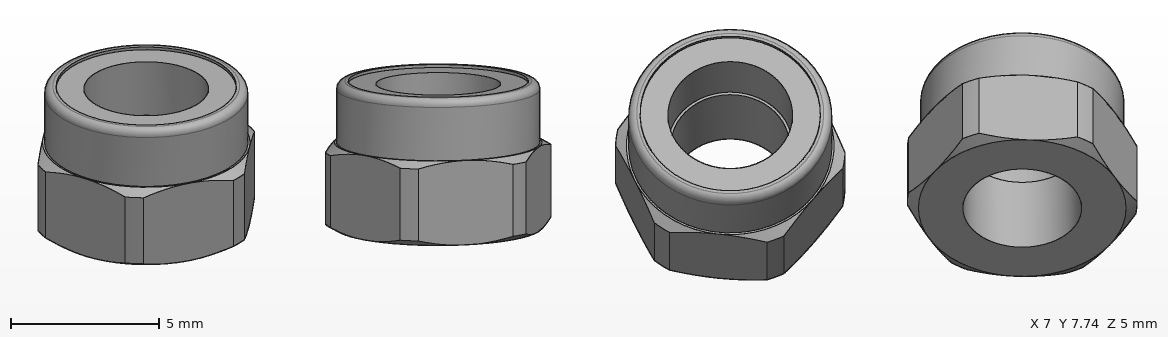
import cadquery as cq
import math

across_flats = 7.0
corner_diameter = 7.74
hex_height = 2.895
chamfer_angle = 30.0

total_height = 5.0
collar_diameter = 6.86
collar_rounding = 0.28

recess_diameter = 6.075
recess_depth = 0.1
insert_bore_diameter = 4.2
insert_thickness = 2.0
thread_bore_diameter = 4.0


def cylinder(diameter, bottom, top):
    """Vertical cylinder on the part axis between two heights."""
    return cq.Workplane("XY").workplane(offset=bottom).circle(diameter / 2).extrude(top - bottom)


def hex_base():
    """Hexagon with flats facing X, its corners turned round and chamfered at both ends."""
    flat_radius = across_flats / 2
    corner_radius = corner_diameter / 2
    chamfer_height = (corner_radius - flat_radius) * math.tan(math.radians(chamfer_angle))
    corner_to_corner = across_flats / math.cos(math.radians(30))
    hexagon = (
        cq.Workplane("XY")
        .polygon(6, corner_to_corner)
        .extrude(hex_height)
        .rotate((0, 0, 0), (0, 0, 1), 30)
    )
    turned_envelope = (
        cq.Workplane("XZ")
        .moveTo(0, 0)
        .lineTo(flat_radius, 0)
        .lineTo(corner_radius, chamfer_height)
        .lineTo(corner_radius, hex_height - chamfer_height)
        .lineTo(flat_radius, hex_height)
        .lineTo(0, hex_height)
        .close()
        .revolve(360, (0, 0, 0), (0, 1, 0))
    )
    return hexagon.intersect(turned_envelope)


def collar():
    """Round collar with a rounded top edge, rooted in the hexagon."""
    return cylinder(collar_diameter, 0, total_height).faces(">Z").edges().fillet(collar_rounding)


insert_top = total_height - recess_depth
ledge_height = insert_top - insert_thickness

result = (
    hex_base()
    .union(collar())
    .cut(cylinder(recess_diameter, insert_top, total_height))
    .cut(cylinder(insert_bore_diameter, ledge_height, insert_top))
    .cut(cylinder(thread_bore_diameter, 0, ledge_height))
)